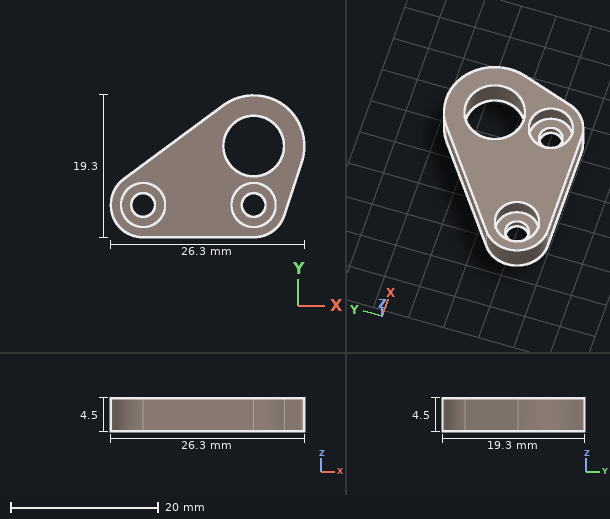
import cadquery as cq
import math

THICKNESS = 4.5
EDGE_WALL = 1.4

SCREW_SPACING = 15.0
SCREW_DIAMETER = 3.2
COUNTERBORE_DIAMETER = 6.0
COUNTERBORE_DEPTH = 3.0

BORE_DIAMETER = 8.2
BORE_OFFSET = 8.0
BORE_WALL = 2.8

SCREW_LOBE_RADIUS = COUNTERBORE_DIAMETER / 2 + EDGE_WALL
BORE_LOBE_RADIUS = BORE_DIAMETER / 2 + BORE_WALL

LEFT_SCREW = (0.0, 0.0)
RIGHT_SCREW = (SCREW_SPACING, 0.0)
BORE = (SCREW_SPACING, BORE_OFFSET)

LOBES = [
    (LEFT_SCREW, SCREW_LOBE_RADIUS),
    (RIGHT_SCREW, SCREW_LOBE_RADIUS),
    (BORE, BORE_LOBE_RADIUS),
]


def tangent_angle(start, end):
    """Direction of the outward normal of the outer tangent from one lobe to the next."""
    (x0, y0), start_radius = start
    (x1, y1), end_radius = end
    heading = math.atan2(y1 - y0, x1 - x0)
    distance = math.hypot(x1 - x0, y1 - y0)
    return heading - math.acos((start_radius - end_radius) / distance)


def point_on_lobe(lobe, angle):
    (x, y), radius = lobe
    return (x + radius * math.cos(angle), y + radius * math.sin(angle))


def make_plate():
    """Plate whose outline wraps the lobes with arcs joined by tangent lines."""
    count = len(LOBES)
    normals = [tangent_angle(LOBES[i], LOBES[(i + 1) % count]) for i in range(count)]
    outline = cq.Workplane("XY").moveTo(*point_on_lobe(LOBES[0], normals[0]))
    for i in range(count):
        lobe = LOBES[(i + 1) % count]
        arrive = normals[i]
        leave = normals[(i + 1) % count]
        sweep = (leave - arrive) % (2 * math.pi)
        outline = outline.lineTo(*point_on_lobe(lobe, arrive))
        outline = outline.threePointArc(
            point_on_lobe(lobe, arrive + sweep / 2),
            point_on_lobe(lobe, arrive + sweep),
        )
    return outline.close().extrude(THICKNESS)


def cut_screw_holes(plate):
    top = plate.faces(">Z").workplane(origin=(0, 0, THICKNESS))
    return top.pushPoints([LEFT_SCREW, RIGHT_SCREW]).cboreHole(
        SCREW_DIAMETER, COUNTERBORE_DIAMETER, COUNTERBORE_DEPTH
    )


def cut_bore(plate):
    top = plate.faces(">Z").workplane(origin=(0, 0, THICKNESS))
    return top.pushPoints([BORE]).hole(BORE_DIAMETER)


result = cut_bore(cut_screw_holes(make_plate()))